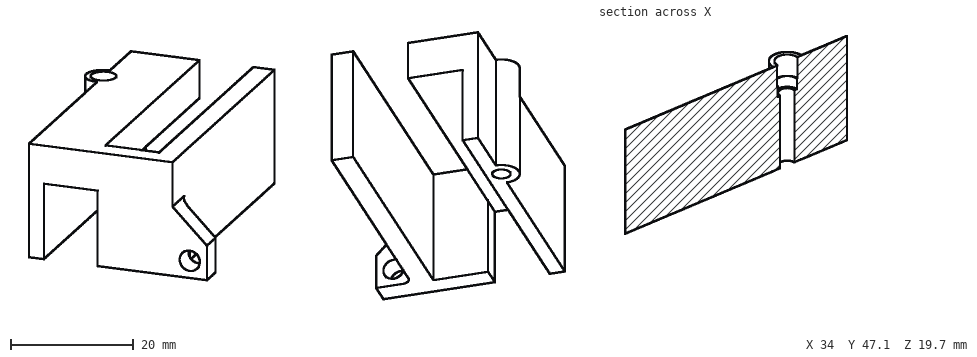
import cadquery as cq

body_width = 25.0
body_length = 47.1
body_height = 19.69

outer_wall = 2.6
gap_width = 9.35
channel_height = 13.1
end_wall = 3.7
channel_right = outer_wall + gap_width
slot_right = channel_right + gap_width

boss_diameter = 6.0
boss_y = 34.4
screw_diameter = 3.0
insert_mouth_diameter = 4.2
insert_seat_diameter = 4.0
insert_mouth_depth = 4.0
insert_depth = 6.0

lug_reach = 6.0
lug_thickness = 4.0
lug_tip_height = 6.0
lug_root_height = lug_tip_height + lug_reach
lug_hole_diameter = 3.5
lug_hole_inset = lug_reach / 2
root_radius = 1.5


def box_between(x_range, y_range, z_range):
    """Axis-aligned box spanning the given (low, high) ranges."""
    lows, highs = zip(x_range, y_range, z_range)
    sizes = [high - low for low, high in zip(lows, highs)]
    return cq.Workplane("XY").box(*sizes, centered=False).translate(lows)


def make_boss():
    """Upright cylinder centred on the left face of the block."""
    return cq.Workplane("XY").center(0, boss_y).circle(boss_diameter / 2).extrude(body_height)


def make_lug():
    """Plate with a 45 degree top, filleted where its back meets the block."""
    plan = (
        cq.Workplane("XY")
        .moveTo(body_width, 0)
        .lineTo(body_width + lug_reach, 0)
        .lineTo(body_width + lug_reach, lug_thickness)
        .lineTo(body_width + root_radius, lug_thickness)
        .radiusArc((body_width, lug_thickness + root_radius), root_radius)
        .close()
        .extrude(lug_root_height)
    )
    profile = (
        cq.Workplane("XZ")
        .moveTo(body_width, 0)
        .lineTo(body_width + lug_reach, 0)
        .lineTo(body_width + lug_reach, lug_tip_height)
        .lineTo(body_width, lug_root_height)
        .close()
        .extrude(-body_length)
    )
    hole = (
        cq.Workplane("XZ")
        .center(body_width + lug_reach - lug_hole_inset, lug_tip_height / 2)
        .circle(lug_hole_diameter / 2)
        .extrude(-lug_thickness)
    )
    return plan.intersect(profile).cut(hole)


def make_insert_hole():
    """Screw hole right through the boss, opening upwards in two steps for an insert."""
    bores = cq.Workplane("XY")
    for diameter, depth in (
        (screw_diameter, body_height),
        (insert_seat_diameter, insert_depth),
        (insert_mouth_diameter, insert_mouth_depth),
    ):
        bore = (
            cq.Workplane("XY", origin=(0, boss_y, body_height))
            .circle(diameter / 2)
            .extrude(-depth)
        )
        bores = bores.union(bore)
    return bores


block = box_between((0, body_width), (0, body_length), (0, body_height))
channel = box_between((outer_wall, channel_right), (0, body_length), (0, channel_height))
slot = box_between((channel_right, slot_right), (end_wall, body_length), (0, body_height))

result = (
    block.union(make_boss())
    .cut(channel)
    .cut(slot)
    .cut(make_insert_hole())
    .union(make_lug())
)